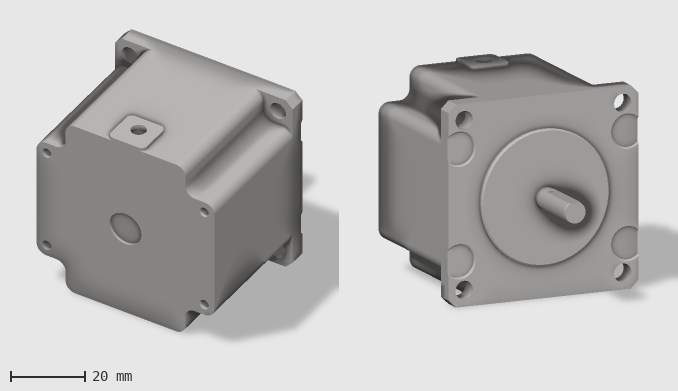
import cadquery as cq
import math

side = 56.4
half_side = side / 2
body_length = 40.0
flange_thickness = 5.0
flange_face = body_length + flange_thickness
flange_chamfer = 2.2
corner_notch = 9.2
notch_radius = 3.0
mount_hole_diameter = 5.1
mount_hole_offset = 23.55

pilot_radius = 19.0
pilot_height = 1.6
pilot_chamfer = 0.45
shaft_tip = 65.6
shaft_diameter = 6.35
shaft_radius = shaft_diameter / 2
shaft_taper_length = 1.0
shaft_taper_inset = 0.2
flat_height = 2.7
flat_length = 15.0

screw_x = 25.0
screw_z = 15.6
screw_radius = 1.25
screw_mouth_radius = 1.5
screw_mouth_depth = screw_mouth_radius - screw_radius
screw_depth = 1.0
drill_tip_angle = 118.0
head_recess_radius = 4.45
head_recess_chamfer = 0.45
head_recess_depth = 0.7

rear_recess_diameter = 10.1
rear_recess_depth = 1.0

pad_size = 11.55
pad_height = 1.0
pad_radius = 1.8
cable_hole_diameter = 4.45
cable_hole_y = 6.75
cable_hole_depth = 2.0


def face_plane(y):
    """Sketch plane at the given y: local x is X, local y is Z, extrusion goes toward -Y."""
    return cq.Workplane("XZ", origin=(0, y, 0))


def four_corners(x, z):
    return [(sx * x, sz * z) for sx in (-1, 1) for sz in (-1, 1)]


def revolve_about_y(profile):
    """Turn a closed (radius, y) profile about the Y axis."""
    return cq.Workplane("XY").polyline(profile).close().revolve(360, (0, 0, 0), (0, 1, 0))


def make_body():
    """Square bar whose corners are notched, every notch edge being rounded."""
    body = face_plane(body_length).rect(side, side).extrude(body_length)
    corners = four_corners(half_side, half_side)
    notches = face_plane(body_length).pushPoints(corners)
    notches = notches.rect(2 * corner_notch, 2 * corner_notch).extrude(body_length)
    return body.cut(notches).edges("|Y").fillet(notch_radius)


def make_flange():
    flange = face_plane(flange_face).rect(side, side).extrude(flange_thickness)
    flange = flange.edges("|Y").chamfer(flange_chamfer)
    holes = face_plane(flange_face).pushPoints(four_corners(mount_hole_offset, mount_hole_offset))
    return flange.cut(holes.circle(mount_hole_diameter / 2).extrude(flange_thickness))


def make_pilot():
    pilot_face = flange_face + pilot_height
    return revolve_about_y([
        (0, flange_face),
        (pilot_radius, flange_face),
        (pilot_radius, pilot_face - pilot_chamfer),
        (pilot_radius - pilot_chamfer, pilot_face),
        (0, pilot_face),
    ])


def make_shaft():
    """Shaft with a slightly tapered tip and a flat on its upper side."""
    shaft = revolve_about_y([
        (0, flange_face),
        (shaft_radius, flange_face),
        (shaft_radius, shaft_tip - shaft_taper_length),
        (shaft_radius - shaft_taper_inset, shaft_tip),
        (0, shaft_tip),
    ])
    flat = cq.Workplane("XY", origin=(0, shaft_tip - flat_length / 2, flat_height))
    return shaft.cut(flat.rect(2 * shaft_radius, flat_length).extrude(shaft_radius))


def make_pad():
    pad = cq.Workplane("XY", origin=(0, pad_size / 2, half_side))
    return pad.rect(pad_size, pad_size).extrude(pad_height).edges("|Z").fillet(pad_radius)


def make_cable_hole():
    hole = cq.Workplane("XY", origin=(0, cable_hole_y, half_side + pad_height))
    return hole.circle(cable_hole_diameter / 2).extrude(-cable_hole_depth)


def make_screw_hole():
    """Blind drilled hole with a countersunk mouth."""
    tip_length = screw_radius / math.tan(math.radians(drill_tip_angle / 2))
    return revolve_about_y([
        (0, 0),
        (screw_mouth_radius, 0),
        (screw_radius, screw_mouth_depth),
        (screw_radius, screw_depth),
        (0, screw_depth + tip_length),
    ])


def make_head_recess():
    """Shallow round recess with a chamfered rim, wide enough to break through the flange side."""
    recess_floor = flange_face - head_recess_depth
    return revolve_about_y([
        (0, recess_floor),
        (head_recess_radius, recess_floor),
        (head_recess_radius, flange_face - head_recess_chamfer),
        (head_recess_radius + head_recess_chamfer, flange_face),
        (0, flange_face),
    ])


def make_rear_recess():
    return face_plane(0).circle(rear_recess_diameter / 2).extrude(-rear_recess_depth)


result = make_body().union(make_flange())
for x, z in four_corners(screw_x, screw_z):
    result = result.cut(make_screw_hole().translate((x, 0, z)))
    result = result.cut(make_head_recess().translate((x, 0, z)))

result = result.union(make_pilot()).union(make_shaft()).union(make_pad())
result = result.cut(make_cable_hole()).cut(make_rear_recess())